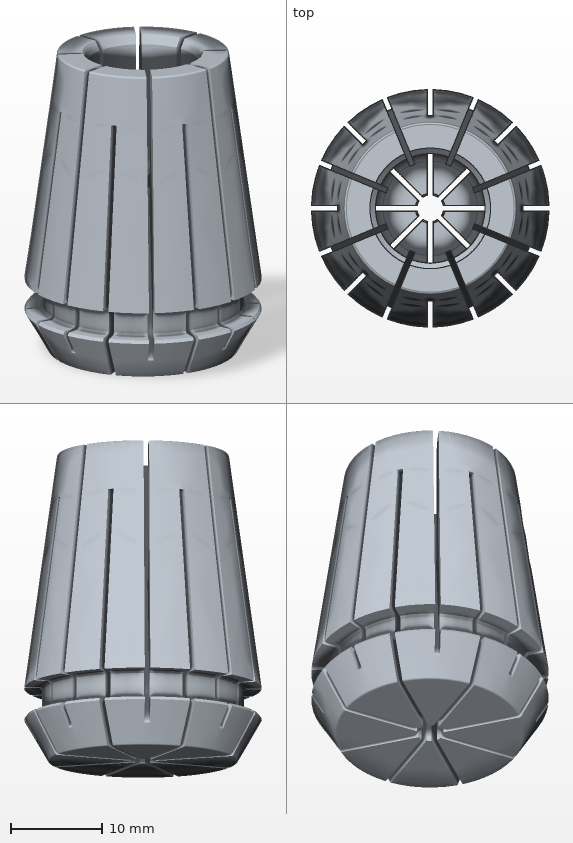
import cadquery as cq
import math

height = 34.0
max_radius = 13.0
top_radius = 9.4
end_edge_fillet = 0.25

nose_radius = 10.35
nose_angle = 30.0
flange_edge_break = 0.25
groove_bottom = 4.93
groove_top = 8.1
groove_radius = 11.0
groove_corner = 0.25

bore_radius = 6.0
bore_floor = 19.05
bore_floor_fillet = 0.8
bore_mouth_chamfer = 0.6
bore_mouth_depth = 1.02
grip_radius = 1.45
grip_edge_chamfer = 0.17

slots_per_set = 8
slot_pitch = 360.0 / slots_per_set
slot_width = 0.6
nose_slot_top = 28.55
rear_slot_exit_height = 2.25
rear_slot_end_radius = 5.1

nose_cone_height = (max_radius - nose_radius) / math.tan(math.radians(nose_angle))


def make_body():
    """Revolve the outside (nose cone, groove, long taper) and round both end edges."""
    outline = [
        (0, 0),
        (nose_radius, 0),
        (max_radius, nose_cone_height),
        (max_radius - flange_edge_break, groove_bottom),
        (groove_radius + groove_corner, groove_bottom),
        (groove_radius, groove_bottom + groove_corner),
        (groove_radius, groove_top - groove_corner),
        (groove_radius + groove_corner, groove_top),
        (max_radius, groove_top),
        (top_radius, height),
        (0, height),
    ]
    body = cq.Workplane("XZ").polyline(outline).close().revolve(360, (0, 0), (0, 1))
    return body.faces(">Z or <Z").edges().fillet(end_edge_fillet)


def make_bore():
    """Revolve the stepped hole: narrow grip hole, round-cornered floor, wide bore, mouth chamfer."""
    corner_reach = bore_floor_fillet * math.sqrt(0.5)
    fillet_center = (bore_radius - bore_floor_fillet, bore_floor + bore_floor_fillet)
    return (
        cq.Workplane("XZ")
        .lineTo(grip_radius, 0)
        .lineTo(grip_radius, bore_floor - grip_edge_chamfer)
        .lineTo(grip_radius + grip_edge_chamfer, bore_floor)
        .lineTo(fillet_center[0], bore_floor)
        .threePointArc(
            (fillet_center[0] + corner_reach, fillet_center[1] - corner_reach),
            (bore_radius, fillet_center[1]),
        )
        .lineTo(bore_radius, height - bore_mouth_depth)
        .lineTo(bore_radius + bore_mouth_chamfer, height)
        .lineTo(0, height)
        .close()
        .revolve(360, (0, 0), (0, 1))
    )


def slot_cutter(outline):
    """Extrude a radius-height outline to the slot width, centred on the XZ plane."""
    return cq.Workplane("XZ").polyline(outline).close().extrude(slot_width / 2, both=True)


def nose_slot():
    """Slot open at the nose, running from the axis out through the wall."""
    return slot_cutter([(0, 0), (max_radius, 0), (max_radius, nose_slot_top), (0, nose_slot_top)])


def rear_slot():
    """Slot open at the rear, its sloped inner end running from the bore floor out to the nose cone."""
    exit_radius = nose_radius + rear_slot_exit_height * math.tan(math.radians(nose_angle))
    return slot_cutter([
        (rear_slot_end_radius, bore_floor),
        (exit_radius, rear_slot_exit_height),
        (max_radius, rear_slot_exit_height),
        (max_radius, height),
        (rear_slot_end_radius, height),
    ])


result = make_body().cut(make_bore())
for index in range(slots_per_set):
    angle = index * slot_pitch
    result = result.cut(nose_slot().rotate((0, 0, 0), (0, 0, 1), angle))
    result = result.cut(rear_slot().rotate((0, 0, 0), (0, 0, 1), angle + slot_pitch / 2))